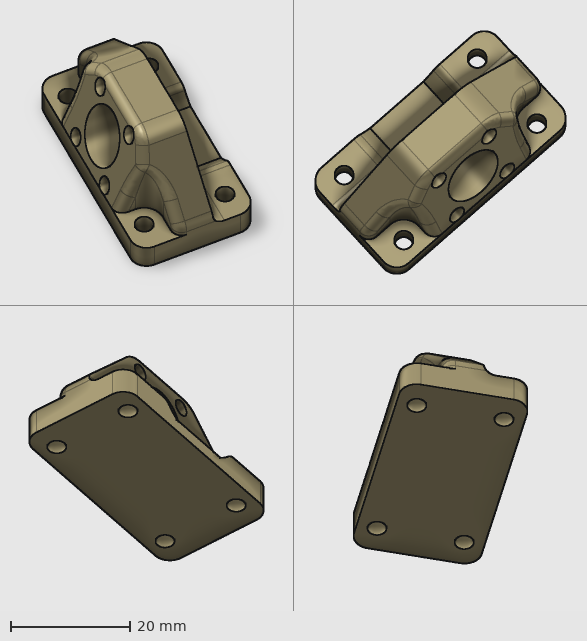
import cadquery as cq
import math

length = 40.0
depth = 22.0
base_height = 5.0
base_corner_radius = 3.0
mount_hole_diameter = 3.2
mount_hole_inset = 3.5
mount_hole_x = 15.0

height = 20.0
housing_back = 14.0
slope_top_y = 6.0
top_half_width = 8.0
left_shoulder_height = 9.3
right_shoulder_height = 7.0
shoulder_radius = 3.0
crown_radius = 5.0
blend_radius = 2.0

clearance_radius = mount_hole_inset
clearance_back = mount_hole_inset + clearance_radius
clearance_inner_x = mount_hole_x - clearance_radius

axis_height = 12.0
bore_diameter = 10.5
bolt_hole_diameter = 3.0
bolt_circle_diameter = 16.0
bolt_count = 4
bolt_start_angle = 45
seat_radius = 11.25
seat_floor = base_height / 2

half_length = length / 2
tolerance = 0.005


def make_base():
    return (
        cq.Workplane("XY")
        .box(length, depth, base_height, centered=(True, False, False))
        .edges("|Z")
        .fillet(base_corner_radius)
    )


def make_housing():
    """Lopsided trapezium, sloped at the front and relieved at both front corners."""
    outline = (
        cq.Workplane("XZ")
        .moveTo(-half_length, 0)
        .lineTo(-half_length, left_shoulder_height)
        .lineTo(-top_half_width, height)
        .lineTo(top_half_width, height)
        .lineTo(half_length, right_shoulder_height)
        .lineTo(half_length, 0)
        .close()
        .extrude(-housing_back)
    )
    outline = outline.edges("|Y and >Z").fillet(crown_radius)
    for side, shoulder_height in ((-1, left_shoulder_height), (1, right_shoulder_height)):
        shoulder = cq.selectors.NearestToPointSelector(
            (side * half_length, housing_back / 2, shoulder_height)
        )
        outline = outline.edges("|Y").edges(shoulder).fillet(shoulder_radius)

    side_profile = (
        cq.Workplane("YZ")
        .moveTo(0, base_height)
        .lineTo(slope_top_y, height)
        .lineTo(housing_back, height)
        .lineTo(housing_back, base_height)
        .close()
        .extrude(half_length, both=True)
    )
    housing = outline.intersect(side_profile)

    for side in (-1, 1):
        relief = (
            cq.Workplane("XY")
            .moveTo(side * clearance_inner_x, -clearance_radius)
            .lineTo(side * clearance_inner_x, clearance_back)
            .lineTo(side * length, clearance_back)
            .lineTo(side * length, -clearance_radius)
            .close()
            .extrude(height)
        )
        inner_corner = cq.selectors.NearestToPointSelector(
            (side * clearance_inner_x, clearance_back, height / 2)
        )
        relief = relief.edges("|Z").edges(inner_corner).fillet(clearance_radius)
        housing = housing.cut(relief)

    return housing


def blend_front_edges(housing):
    """Round the front edges of the housing, leaving its foot and back sharp."""
    front = cq.selectors.BoxSelector(
        (-length, -tolerance, base_height + tolerance),
        (length, clearance_back + tolerance, height + tolerance),
    )
    upright = cq.selectors.ParallelDirSelector(cq.Vector(0, 0, 1))
    selected = front - upright
    for end_x in (-half_length, half_length):
        selected = selected + cq.selectors.BoxSelector(
            (end_x - tolerance, clearance_back - tolerance, base_height + tolerance),
            (end_x + tolerance, clearance_back + tolerance, height),
        )
    return housing.edges(selected).fillet(blend_radius)


def blend_housing_root(body):
    """Concave round where the back of the housing meets the base."""
    root = cq.selectors.NearestToPointSelector((0, housing_back, base_height))
    return body.edges("|X").edges(root).fillet(blend_radius)


def cut_seat(body):
    """Flat-floored cylindrical trough behind the housing, with rounded rims."""
    trough = (
        cq.Workplane("XZ", origin=(0, housing_back, axis_height))
        .circle(seat_radius)
        .extrude(-(depth - housing_back))
    )
    above_floor = cq.Workplane("XY", origin=(0, 0, seat_floor)).rect(length, 2 * depth).extrude(height)
    body = body.cut(trough.intersect(above_floor))

    rim_half_width = math.sqrt(seat_radius**2 - (axis_height - base_height) ** 2)
    rim_y = (housing_back + blend_radius + depth) / 2
    for side in (-1, 1):
        rim = cq.selectors.NearestToPointSelector((side * rim_half_width, rim_y, base_height))
        body = body.edges("|Y").edges(rim).fillet(blend_radius)
    return body


def cut_holes(body):
    for x in (-mount_hole_x, mount_hole_x):
        for y in (mount_hole_inset, depth - mount_hole_inset):
            hole = cq.Workplane("XY").center(x, y).circle(mount_hole_diameter / 2).extrude(base_height)
            body = body.cut(hole)

    bore_plane = cq.Workplane("XZ", origin=(0, 0, axis_height))
    bore = bore_plane.circle(bore_diameter / 2).extrude(-housing_back)
    bolt_holes = (
        bore_plane.polarArray(bolt_circle_diameter / 2, bolt_start_angle, 360, bolt_count)
        .circle(bolt_hole_diameter / 2)
        .extrude(-housing_back)
    )
    return body.cut(bore).cut(bolt_holes)


housing = blend_front_edges(make_housing())
body = blend_housing_root(make_base().union(housing))
result = cut_holes(cut_seat(body))